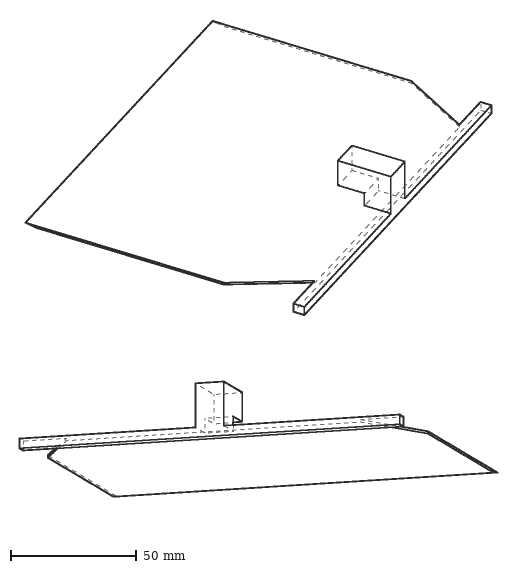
import cadquery as cq

LENGTH = 126.25
WIDTH = 160.0

BAR_DEPTH = 5.0
BAR_HEIGHT = 4.0

PLATE_THICKNESS = 1.0
BEVEL_LENGTH = 5.5
CLIP_DEPTH = 18.1
CLIP_LENGTH = 31.4

HOOK_WIDTH = 12.0
HOOK_REACH = 24.0
HOOK_STEM_DEPTH = 12.0
HOOK_HEIGHT = 18.0
HOOK_HEAD_HEIGHT = 12.0


def make_bar():
    """Square-ended bar across the full width, flush with the plate's top face."""
    return cq.Workplane("XY").box(BAR_DEPTH, WIDTH, BAR_HEIGHT).translate(
        (-BAR_DEPTH / 2, 0, -BAR_HEIGHT / 2)
    )


def make_plate():
    """Flat plate: a bevelled side profile trimmed to the clipped outline."""
    front = -LENGTH
    rear = -BAR_DEPTH
    half_width = WIDTH / 2
    rear_half_width = half_width - CLIP_DEPTH

    profile = (
        cq.Workplane("XZ")
        .moveTo(front, 0)
        .lineTo(rear, 0)
        .lineTo(rear, -PLATE_THICKNESS)
        .lineTo(front + BEVEL_LENGTH, -PLATE_THICKNESS)
        .close()
        .extrude(half_width, both=True)
    )
    outline = (
        cq.Workplane("XY")
        .moveTo(front, -half_width)
        .lineTo(rear - CLIP_LENGTH, -half_width)
        .lineTo(rear, -rear_half_width)
        .lineTo(rear, rear_half_width)
        .lineTo(rear - CLIP_LENGTH, half_width)
        .lineTo(front, half_width)
        .close()
        .extrude(-PLATE_THICKNESS)
    )
    return profile.intersect(outline)


def make_hook():
    """Stem rising from the rear edge with a head overhanging the plate."""
    return (
        cq.Workplane("XZ")
        .moveTo(0, 0)
        .lineTo(0, HOOK_HEIGHT)
        .lineTo(-HOOK_REACH, HOOK_HEIGHT)
        .lineTo(-HOOK_REACH, HOOK_HEIGHT - HOOK_HEAD_HEIGHT)
        .lineTo(-HOOK_STEM_DEPTH, HOOK_HEIGHT - HOOK_HEAD_HEIGHT)
        .lineTo(-HOOK_STEM_DEPTH, 0)
        .close()
        .extrude(HOOK_WIDTH / 2, both=True)
    )


result = make_bar().union(make_plate()).union(make_hook())